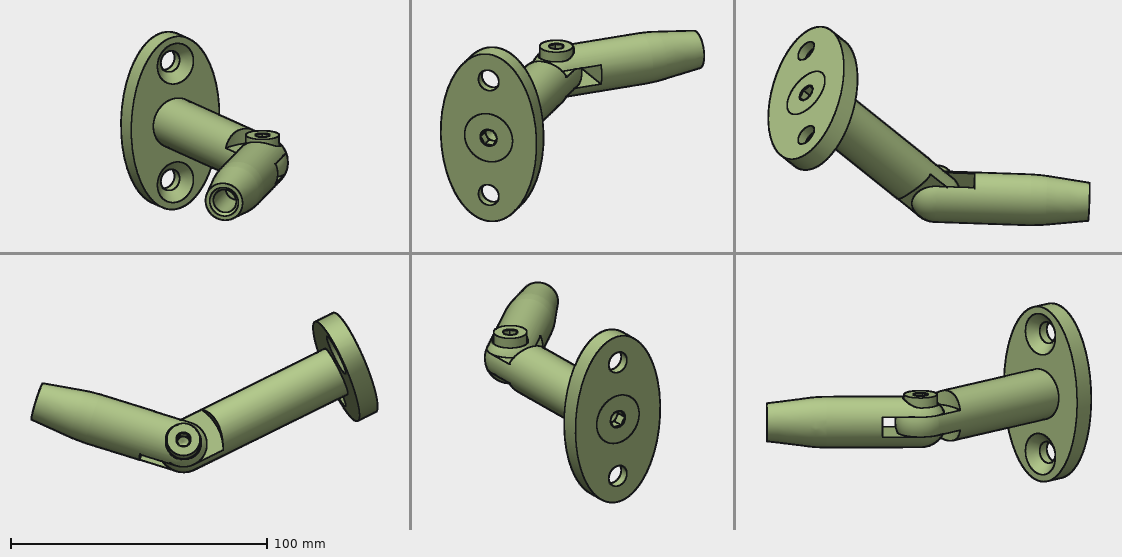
import cadquery as cq
import math

FLANGE_HEIGHT = 70.0
FLANGE_WIDTH = 40.0
FLANGE_THICKNESS = 8.0
MOUNT_HOLE_DIAMETER = 8.5
MOUNT_HOLE_SPACING = 48.0
MOUNT_COUNTERSINK_DEPTH = 3.9

BAR_DIAMETER = 20.0
BAR_RADIUS = BAR_DIAMETER / 2
PIVOT_X = 75.0
TONGUE_THICKNESS = 8.0
TONGUE_START_X = 60.0
SHOULDER_RADIUS = BAR_DIAMETER

SWIVEL_ANGLE = -45.0
SLOT_LENGTH = 15.0
TAPER_START = 40.0
SWIVEL_LENGTH = 60.0
TIP_DIAMETER = 15.0
TAPER_BLEND_RADIUS = 50.0
BORE_DIAMETER = 9.2
BORE_RIM_DIAMETER = 11.5
BORE_DEPTH = 20.0

FIXING_HEAD_DIAMETER = 20.0
FIXING_SHANK_DIAMETER = 10.0
FIXING_LENGTH = 25.0
FIXING_HEX = 6.0

PIVOT_HEAD_DIAMETER = 13.0
PIVOT_HEAD_TOP_Z = 11.0
PIVOT_HEAD_BOTTOM_Z = 6.0
COUNTERBORE_DIAMETER = 14.0
PIVOT_SHANK_DIAMETER = 8.0
PIVOT_SHANK_END_Z = -PIVOT_HEAD_BOTTOM_Z
PIVOT_HEX = 5.0

SOCKET_DEPTH = 4.9
DRILL_POINT_ANGLE = 118.0


def vertical_cylinder(diameter, bottom_z, top_z, x=0.0):
    """Cylinder along Z, centred at (x, 0)."""
    return (
        cq.Workplane("XY", origin=(x, 0, bottom_z))
        .circle(diameter / 2)
        .extrude(top_z - bottom_z)
    )


def revolve_about_x(profile):
    """Turn a closed (x, radius) outline about the X axis."""
    return profile.close().revolve(360, (0, 0, 0), (1, 0, 0))


def hex_socket(across_flats):
    """Hexagon socket from the origin toward +X, with a conical rim at its corners and a drill point."""
    corner_diameter = across_flats / math.cos(math.radians(30))
    prism = cq.Workplane("YZ").polygon(6, corner_diameter).extrude(SOCKET_DEPTH)

    rim_radius = corner_diameter / 2
    rim = revolve_about_x(cq.Workplane("XY").polyline([(0, 0), (0, rim_radius), (rim_radius, 0)]))

    flat_radius = across_flats / 2
    point_length = flat_radius / math.tan(math.radians(DRILL_POINT_ANGLE / 2))
    drill_point = revolve_about_x(
        cq.Workplane("XY").polyline([
            (0, 0),
            (0, flat_radius),
            (SOCKET_DEPTH, flat_radius),
            (SOCKET_DEPTH + point_length, 0),
        ])
    )
    return prism.union(drill_point).union(rim)


def fixing_screw_body():
    """Countersunk head with a 90 degree cone, and its shank, without the socket."""
    head_radius = FIXING_HEAD_DIAMETER / 2
    shank_radius = FIXING_SHANK_DIAMETER / 2
    return revolve_about_x(
        cq.Workplane("XY").polyline([
            (0, 0),
            (0, head_radius),
            (head_radius - shank_radius, shank_radius),
            (FIXING_LENGTH, shank_radius),
            (FIXING_LENGTH, 0),
        ])
    )


def make_flange():
    plate = cq.Workplane("YZ").ellipse(FLANGE_WIDTH / 2, FLANGE_HEIGHT / 2).extrude(FLANGE_THICKNESS)
    countersink_diameter = MOUNT_HOLE_DIAMETER + 2 * MOUNT_COUNTERSINK_DEPTH
    drilled_plate = (
        plate.faces(">X").workplane(origin=(0, 0, 0))
        .rarray(1.2, MOUNT_HOLE_SPACING, 1, 2)
        .cskHole(MOUNT_HOLE_DIAMETER, countersink_diameter, 90)
    )
    return drilled_plate.cut(fixing_screw_body())


def make_arm():
    bar_length = PIVOT_X - FLANGE_THICKNESS
    bar = cq.Workplane("YZ", origin=(FLANGE_THICKNESS, 0, 0)).circle(BAR_RADIUS).extrude(bar_length)
    ball_end = cq.Workplane("XY").sphere(BAR_RADIUS).translate((PIVOT_X, 0, 0))
    arm = bar.union(ball_end)

    half_tongue = TONGUE_THICKNESS / 2
    shoulder_x = TONGUE_START_X + SHOULDER_RADIUS
    for bottom_z, top_z in [(half_tongue, BAR_RADIUS), (-BAR_RADIUS, -half_tongue)]:
        arm = arm.cut(vertical_cylinder(2 * SHOULDER_RADIUS, bottom_z, top_z, shoulder_x))

    pivot_hole = vertical_cylinder(PIVOT_SHANK_DIAMETER, -half_tongue, half_tongue, PIVOT_X)
    return arm.cut(pivot_hole).cut(fixing_screw_body())


def swivel_blank():
    """Turned swivel along X: ball end at the origin, bar, rounded shoulder and tapered tip."""
    tip_radius = TIP_DIAMETER / 2
    taper_angle = math.atan2(BAR_RADIUS - tip_radius, SWIVEL_LENGTH - TAPER_START)
    blend_reach = TAPER_BLEND_RADIUS * math.tan(taper_angle / 2)
    blend_end = (
        TAPER_START + blend_reach * math.cos(taper_angle),
        BAR_RADIUS - blend_reach * math.sin(taper_angle),
    )
    ball_middle = BAR_RADIUS * math.sqrt(0.5)
    bore_radius = BORE_DIAMETER / 2
    rim_radius = BORE_RIM_DIAMETER / 2
    return revolve_about_x(
        cq.Workplane("XY")
        .moveTo(-BAR_RADIUS, 0)
        .threePointArc((-ball_middle, ball_middle), (0, BAR_RADIUS))
        .lineTo(TAPER_START - blend_reach, BAR_RADIUS)
        .tangentArcPoint(blend_end, relative=False)
        .lineTo(SWIVEL_LENGTH, tip_radius)
        .lineTo(SWIVEL_LENGTH, rim_radius)
        .lineTo(SWIVEL_LENGTH - (rim_radius - bore_radius), bore_radius)
        .lineTo(SWIVEL_LENGTH - BORE_DEPTH, bore_radius)
        .lineTo(SWIVEL_LENGTH - BORE_DEPTH, 0)
    )


def make_swivel():
    slot = (
        cq.Workplane("XY")
        .box(BAR_RADIUS + SLOT_LENGTH, BAR_DIAMETER, TONGUE_THICKNESS, centered=(False, True, True))
        .translate((-BAR_RADIUS, 0, 0))
    )
    counterbore = vertical_cylinder(COUNTERBORE_DIAMETER, PIVOT_HEAD_BOTTOM_Z, BAR_RADIUS)
    shank_hole = vertical_cylinder(PIVOT_SHANK_DIAMETER, PIVOT_SHANK_END_Z, PIVOT_HEAD_BOTTOM_Z)
    swivel = swivel_blank().cut(slot).cut(counterbore).cut(shank_hole)
    return swivel.rotate((0, 0, 0), (0, 0, 1), SWIVEL_ANGLE).translate((PIVOT_X, 0, 0))


def make_fixing_screw():
    return fixing_screw_body().cut(hex_socket(FIXING_HEX))


def make_pivot_screw():
    head = vertical_cylinder(PIVOT_HEAD_DIAMETER, PIVOT_HEAD_BOTTOM_Z, PIVOT_HEAD_TOP_Z, PIVOT_X)
    shank = vertical_cylinder(PIVOT_SHANK_DIAMETER, PIVOT_SHANK_END_Z, PIVOT_HEAD_BOTTOM_Z, PIVOT_X)
    socket = (
        hex_socket(PIVOT_HEX)
        .rotate((0, 0, 0), (0, 1, 0), 90)
        .translate((PIVOT_X, 0, PIVOT_HEAD_TOP_Z))
    )
    return head.union(shank).cut(socket)


flange = make_flange()
arm = make_arm()
swivel = make_swivel()
fixing_screw = make_fixing_screw()
pivot_screw = make_pivot_screw()

result = cq.Compound.makeCompound([
    flange.val(),
    arm.val(),
    swivel.val(),
    fixing_screw.val(),
    pivot_screw.val(),
])